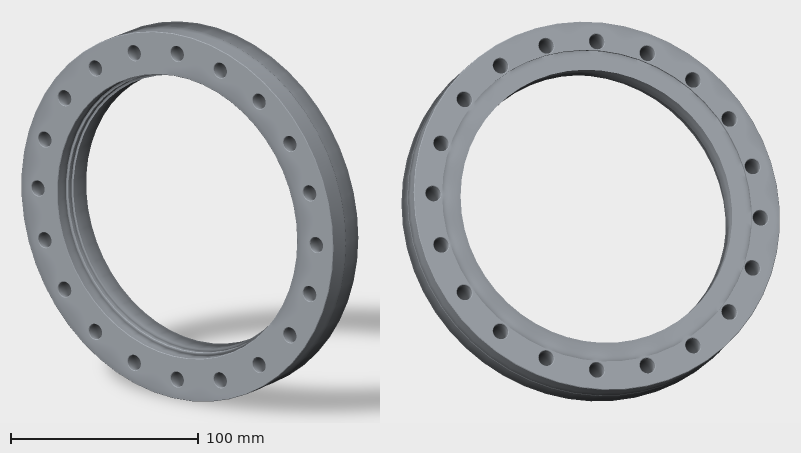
import cadquery as cq

OUTER_DIAMETER = 203.0
THICKNESS = 24.0
FRONT_Y = -THICKNESS / 2
BACK_Y = THICKNESS / 2

EDGE_CHAMFER = 0.3

FRONT_BAND_WIDTH = 11.8
RIM_STEP = 0.2
RIM_CONE_LENGTH = 0.5
RING_BORE_DIAMETER = 156.0

BOLT_COUNT = 20
BOLT_DIAMETER = 8.3
BOLT_CIRCLE_DIAMETER = 181.0

SHOULDER_DIAMETER = 171.3
SEAT_DEPTH = 11.8
NECK_DEPTH = 8.0
COLLAR_BACK_RECESS = 1.2
SOCKET_DIAMETER = 152.9
SOCKET_LENGTH = 3.0
COLLAR_BORE_DIAMETER = 150.2

SEAT_Y = FRONT_Y + SEAT_DEPTH
NECK_Y = FRONT_Y + NECK_DEPTH
COLLAR_BACK_Y = BACK_Y - COLLAR_BACK_RECESS


def revolve_about_y(profile):
    """Turn a closed list of (radius, y) points into a solid of revolution about Y."""
    return cq.Workplane("XY").polyline(profile).close().revolve(360, (0, 0, 0), (0, 1, 0))


def make_ring_blank():
    """Clamping ring without bolt holes."""
    rim = OUTER_DIAMETER / 2
    rear_rim = rim - RIM_STEP
    bore = RING_BORE_DIAMETER / 2
    seat = SHOULDER_DIAMETER / 2
    step_y = FRONT_Y + FRONT_BAND_WIDTH
    return revolve_about_y([
        (bore + EDGE_CHAMFER, FRONT_Y),
        (rim - EDGE_CHAMFER, FRONT_Y),
        (rim, FRONT_Y + EDGE_CHAMFER),
        (rim, step_y),
        (rear_rim, step_y + RIM_CONE_LENGTH),
        (rear_rim, BACK_Y - EDGE_CHAMFER),
        (rear_rim - EDGE_CHAMFER, BACK_Y),
        (seat, BACK_Y),
        (seat, SEAT_Y),
        (bore, SEAT_Y),
        (bore, FRONT_Y + EDGE_CHAMFER),
    ])


def make_bolt_cutter():
    """Bolt hole along Y on the origin, flared at both ends by the edge chamfer."""
    radius = BOLT_DIAMETER / 2
    flare = radius + EDGE_CHAMFER
    return revolve_about_y([
        (0, FRONT_Y),
        (flare, FRONT_Y),
        (radius, FRONT_Y + EDGE_CHAMFER),
        (radius, BACK_Y - EDGE_CHAMFER),
        (flare, BACK_Y),
        (0, BACK_Y),
    ])


def make_clamping_ring():
    ring = make_ring_blank()
    cutter = make_bolt_cutter().translate((BOLT_CIRCLE_DIAMETER / 2, 0, 0))
    for i in range(BOLT_COUNT):
        ring = ring.cut(cutter.rotate((0, 0, 0), (0, 1, 0), i * 360 / BOLT_COUNT))
    return ring


def make_weld_collar():
    """Collar with a shoulder, a neck and a shallow tube socket in the neck end."""
    neck = RING_BORE_DIAMETER / 2
    shoulder = SHOULDER_DIAMETER / 2
    socket = SOCKET_DIAMETER / 2
    bore = COLLAR_BORE_DIAMETER / 2
    socket_floor_y = NECK_Y + SOCKET_LENGTH
    return revolve_about_y([
        (socket + EDGE_CHAMFER, NECK_Y),
        (neck, NECK_Y),
        (neck, SEAT_Y),
        (shoulder, SEAT_Y),
        (shoulder, COLLAR_BACK_Y),
        (bore, COLLAR_BACK_Y),
        (bore, socket_floor_y),
        (socket, socket_floor_y),
        (socket, NECK_Y + EDGE_CHAMFER),
    ])


clamping_ring = make_clamping_ring()
weld_collar = make_weld_collar()

result = cq.Compound.makeCompound([clamping_ring.val(), weld_collar.val()])